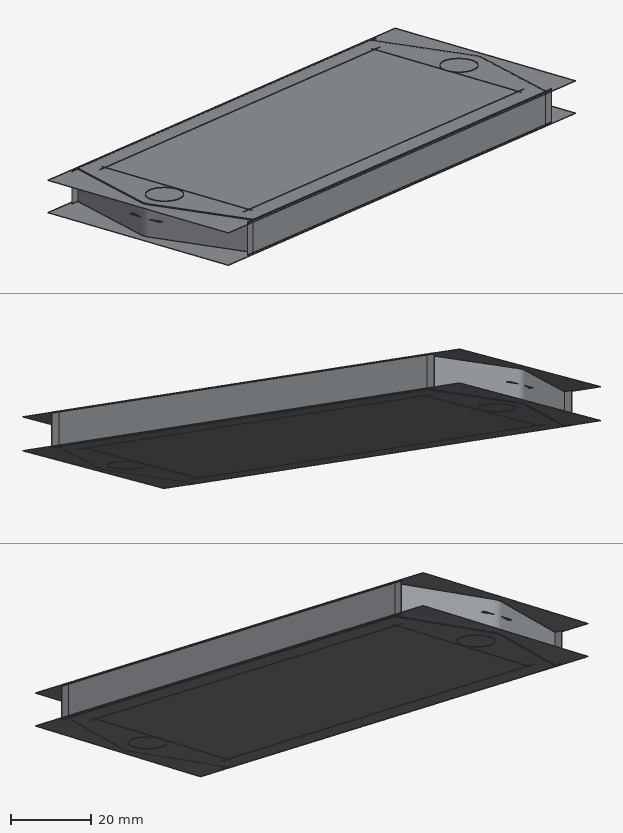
import cadquery as cq

sheet_width = 58.2
sheet_length = 137.3
total_height = 9.3

body_width = 56.7
nose_y = 66.3
shoulder_y = 57.8
nose_radius = 4.3
line_height = 0.07
line_width = 0.07
body_height = total_height - 2 * line_height

sheet_thickness = 0.07
sheet_level = 4.32
side_sheet_length = 120.3

border_x = 23.2
border_y = 53.3
border_line_x_length = 48.3
border_line_y_length = 110.9

recess_radius = 4.8
recess_y = 58.2
recess_depth = 0.1

tab_width = 9.6
tab_outer_y = 65.9
tab_depth = 1.0
tab_z = 0.4


def centred_box(size, centre):
    return cq.Workplane("XY").box(*size).translate(centre)


def make_body():
    half_width = body_width / 2
    outline = [
        (half_width, -shoulder_y),
        (half_width, shoulder_y),
        (0, nose_y),
        (-half_width, shoulder_y),
        (-half_width, -shoulder_y),
        (0, -nose_y),
    ]
    body = cq.Workplane("XY").polyline(outline).close().extrude(body_height / 2, both=True)
    return body.edges("|Z and (>Y or <Y)").fillet(nose_radius)


def cut_recesses(body):
    for side in (-1, 1):
        face_z = side * body_height / 2
        cutter = (
            cq.Workplane("XY", origin=(0, 0, face_z))
            .pushPoints([(0, -recess_y), (0, recess_y)])
            .circle(recess_radius)
            .extrude(-side * recess_depth)
        )
        body = body.cut(cutter)
    return body


def add_sheets(body):
    for side in (-1, 1):
        horizontal = centred_box((sheet_width, sheet_length, sheet_thickness), (0, 0, side * sheet_level))
        vertical_x = side * (body_width - sheet_thickness) / 2
        vertical = centred_box((sheet_thickness, side_sheet_length, body_height), (vertical_x, 0, 0))
        body = body.union(horizontal).union(vertical)
    return body


def add_border_lines(body):
    height = 2 * line_height
    for face in (-1, 1):
        z = face * body_height / 2
        for side in (-1, 1):
            across = centred_box((border_line_x_length, line_width, height), (0, side * border_y, z))
            along = centred_box((line_width, border_line_y_length, height), (side * border_x, 0, z))
            body = body.union(across).union(along)
    return body


def add_nose_tabs(body):
    for side in (-1, 1):
        y = side * (tab_outer_y - tab_depth / 2)
        body = body.union(centred_box((tab_width, tab_depth, sheet_thickness), (0, y, tab_z)))
    return body


result = make_body()
result = cut_recesses(result)
result = add_sheets(result)
result = add_border_lines(result)
result = add_nose_tabs(result)